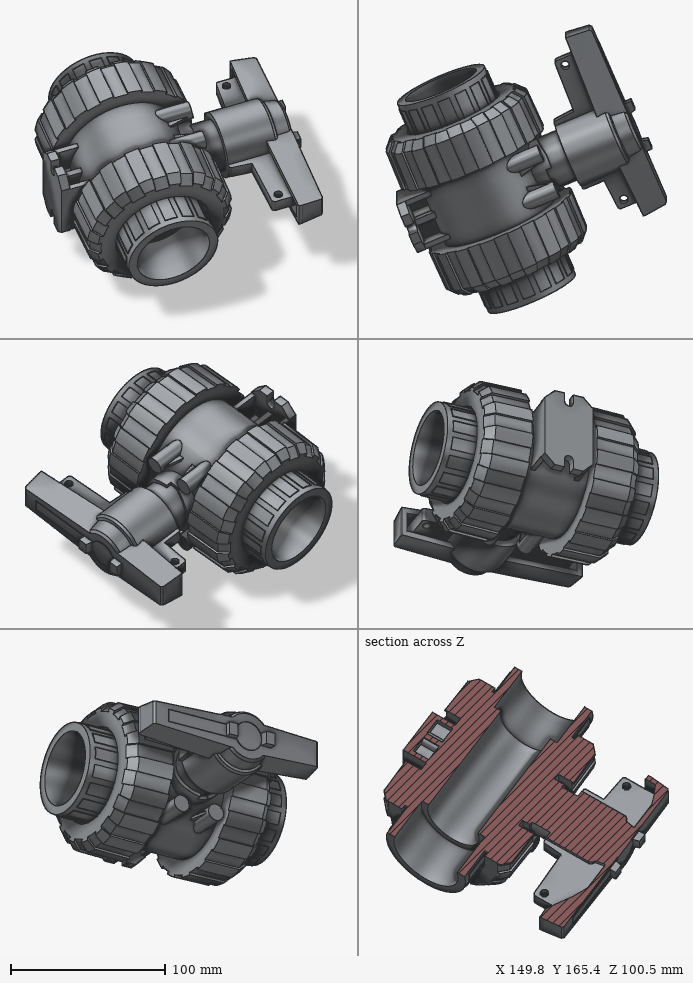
import cadquery as cq
import math


PIPE_LENGTH = 149.8
PIPE_DIAMETER = 61.5
BORE_DIAMETER = 40.0
SOCKET_DIAMETER = 50.0
SOCKET_DEPTH = 32.2
RIB_COUNT = 16
RIB_DIAMETER = 62.7
RIB_WIDTH = 8.3
RIB_START = 71.0

NUT_OUTER_FACE = 54.7
NUT_BEVEL_START = 49.1
NUT_INNER_FACE = 23.0
NUT_MOUTH_DIAMETER = 65.0
NUT_MOUTH_DEPTH = 3.3
LOBE_COUNT = 16
LOBE_RADIUS = 50.5
GROOVE_DEPTH = 1.7
GROOVE_WIDTH = 9.6
NUT_DRAFT = 0.5
NUT_BEVEL_RADIUS = 44.8
GROOVE_BEVEL_RADIUS = 42.5

BODY_DIAMETER = 77.2
STEM_DIAMETER = 35.0
COLLAR_DIAMETER = 40.0
COLLAR_HALF_WIDTH = 18.9
COLLAR_HIGH = 46.0
COLLAR_LOW = 42.0
COLLAR_RAMP_FOOT = 7.5
COLLAR_RAMP_STEP = 0.8
COLLAR_RAMP_HEAD = 8.8
COLLAR_RAMP_DROP = 2.5

POST_DIAMETER = 11.4
POST_X = 13.0
POST_Z = 27.1
POST_TOP = 43.8
GUSSET_THICKNESS = 2.0
GUSSET_TOP = 40.4
GUSSET_FOOT = 25.8
GUSSET_INNER_X = 3.6

FOOT_FACE = -55.9
FOOT_THICKNESS = 6.0
FOOT_HALF_WIDTH = 17.2
FOOT_HALF_HEIGHT = 28.5
FOOT_CHAMFER = 7.1
FOOT_SLOT_WIDTH = 6.1
FOOT_SLOT_DEPTH = 9.3
CHEEK_THICKNESS = 3.3
CHEEK_HALF_HEIGHT = 20.7
WEB_THICKNESS = 4.0
WEB_HALF_HEIGHT = 14.5
FOOT_BOSS_DIAMETER = 11.4

HUB_RADIUS = 22.0
HUB_BOTTOM = 57.7
HUB_SHOULDER = 91.6
HUB_CHAMFER_TOP = 93.5
HUB_TOP = 94.1
HUB_CHAMFER = 1.2
CAP_BASE_RADIUS = 19.2
CAP_RADIUS = 17.5
CAP_BEVEL = 1.7

ARM_TOP = 104.7
ARM_LEFT = -54.7
ARM_RIGHT = 73.3
ARM_END_BOTTOM = 87.3
ARM_MID_BOTTOM = 85.0
ARM_MID_TOP_HALF = 11.4
ARM_MID_BOTTOM_HALF = 13.9
ARM_TOP_TAPER = 0.048
ARM_BOTTOM_TAPER = 0.06
ARM_END_LEAN = 1.3
ARM_END_FLAT = 2.5
ARM_CORNER = 1.3
ARM_WALL = 3.6
CAP_DISC_RADIUS = 10.0
RIDGE_TOP = 105.2

FIN_THICKNESS = 9.3
FIN_LEFT = -45.6
FIN_RIGHT = 60.9
FIN_TIP_BOTTOM = 74.0
FIN_ROOT_BOTTOM = 72.6
FIN_ROOT_LEFT = -24.3
FIN_ROOT_RIGHT = 25.6
FIN_TIP_FILLET = 2.0
FIN_FOOT_FILLET = 1.3
SELECT_MARGIN = 0.2
FIN_HOLE_DIAMETER = 5.5
FIN_HOLE_INSET = 5.0
FIN_HOLE_Y = 79.5
LUG_THICKNESS = 8.6
LUG_TOP = 109.5
LUG_OUTER_X = 17.2
LUG_TOP_INNER_X = 10.9
LUG_BASE_INNER_X = 9.6


def box(x_range, y_range, z_range):
    """Block between the given limits on each axis."""
    size = [high - low for low, high in (x_range, y_range, z_range)]
    corner = (x_range[0], y_range[0], z_range[0])
    return cq.Workplane("XY").box(*size, centered=False).translate(corner)


def turned_about_x(points):
    """Solid of (x, radius) points revolved about the bore axis."""
    return cq.Workplane("XY").polyline(points).close().revolve(360, (0, 0, 0), (1, 0, 0))


def rod_along_x(diameter, start, end):
    return cq.Workplane("YZ", origin=(start, 0, 0)).circle(diameter / 2).extrude(end - start)


def rod_along_y(diameter, start, end, x=0, z=0):
    return cq.Workplane("XZ", origin=(x, start, z)).circle(diameter / 2).extrude(start - end)


def plate_along_z(points, thickness, z=0):
    """Plate outlined in the XY plane, centred on the given height."""
    plane = cq.Workplane("XY", origin=(0, 0, z - thickness / 2))
    return plane.polyline(points).close().extrude(thickness)


def both_ends(shape):
    return shape.union(shape.mirror("YZ"))


def pipe():
    tube = rod_along_x(PIPE_DIAMETER, -PIPE_LENGTH / 2, PIPE_LENGTH / 2)
    ribs = rod_along_x(RIB_DIAMETER, -RIB_START, -NUT_BEVEL_START)
    bars = None
    for i in range(RIB_COUNT // 2):
        bar = box(
            (-RIB_START, -NUT_BEVEL_START),
            (-RIB_DIAMETER, RIB_DIAMETER),
            (-RIB_WIDTH / 2, RIB_WIDTH / 2),
        )
        bar = bar.rotate((0, 0, 0), (1, 0, 0), i * 360 / RIB_COUNT)
        bars = bar if bars is None else bars.union(bar)
    return tube.union(both_ends(ribs.intersect(bars)))


def nut_blank(radius, bevel_radius):
    return turned_about_x([
        (-NUT_OUTER_FACE, 0),
        (-NUT_OUTER_FACE, bevel_radius),
        (-NUT_BEVEL_START, radius - NUT_DRAFT),
        (-NUT_INNER_FACE, radius),
        (-NUT_INNER_FACE, 0),
    ])


def nut():
    lobes = nut_blank(LOBE_RADIUS, NUT_BEVEL_RADIUS)
    for i in range(LOBE_COUNT):
        groove = box(
            (-NUT_OUTER_FACE, -NUT_INNER_FACE),
            (GROOVE_BEVEL_RADIUS - GROOVE_DEPTH, LOBE_RADIUS + GROOVE_DEPTH),
            (-GROOVE_WIDTH / 2, GROOVE_WIDTH / 2),
        )
        lobes = lobes.cut(groove.rotate((0, 0, 0), (1, 0, 0), i * 360 / LOBE_COUNT))
    core = nut_blank(LOBE_RADIUS - GROOVE_DEPTH, GROOVE_BEVEL_RADIUS)
    mouth = rod_along_x(NUT_MOUTH_DIAMETER, -NUT_OUTER_FACE, NUT_MOUTH_DEPTH - NUT_OUTER_FACE)
    return lobes.union(core).cut(mouth)


def stop_collar():
    """Collar round the stem whose rim falls away in ramps from a central step."""
    rim = plate_along_z([
        (-COLLAR_HALF_WIDTH, 0),
        (-COLLAR_HALF_WIDTH, COLLAR_HIGH),
        (-COLLAR_RAMP_FOOT, COLLAR_LOW + COLLAR_RAMP_STEP),
        (-COLLAR_RAMP_FOOT, COLLAR_LOW),
        (0, COLLAR_LOW),
        (0, COLLAR_HIGH),
        (COLLAR_RAMP_HEAD, COLLAR_HIGH),
        (COLLAR_HALF_WIDTH, COLLAR_HIGH - COLLAR_RAMP_DROP),
        (COLLAR_HALF_WIDTH, 0),
    ], COLLAR_DIAMETER)
    return rod_along_y(COLLAR_DIAMETER, 0, COLLAR_HIGH).intersect(rim)


def post_with_gusset():
    post = rod_along_y(POST_DIAMETER, 0, POST_TOP, POST_X, POST_Z)
    inner_edge = POST_X - POST_DIAMETER / 2
    gusset = plate_along_z([
        (POST_X, GUSSET_TOP),
        (inner_edge, GUSSET_TOP),
        (GUSSET_INNER_X, GUSSET_FOOT),
        (GUSSET_INNER_X, 0),
        (POST_X, 0),
    ], GUSSET_THICKNESS, POST_Z)
    return post.union(gusset)


def body():
    barrel = rod_along_x(BODY_DIAMETER, -NUT_INNER_FACE, NUT_INNER_FACE)
    stem = rod_along_y(STEM_DIAMETER, 0, HUB_BOTTOM)
    posts = both_ends(post_with_gusset())
    posts = posts.union(posts.mirror("XY"))
    return barrel.union(stem).union(stop_collar()).union(posts)


def foot():
    """Slotted mounting plate joined to the barrel by cheeks, webs and a boss."""
    back = FOOT_FACE + FOOT_THICKNESS
    plate = box(
        (-FOOT_HALF_WIDTH, FOOT_HALF_WIDTH),
        (FOOT_FACE, back),
        (-FOOT_HALF_HEIGHT, FOOT_HALF_HEIGHT),
    ).edges("|Y").chamfer(FOOT_CHAMFER)
    for side in (-1, 1):
        slot_end = side * (FOOT_HALF_HEIGHT - FOOT_SLOT_DEPTH + FOOT_SLOT_WIDTH / 2)
        mouth = sorted((slot_end, side * FOOT_HALF_HEIGHT))
        plate = plate.cut(rod_along_y(FOOT_SLOT_WIDTH, FOOT_FACE, back, 0, slot_end))
        plate = plate.cut(box((-FOOT_SLOT_WIDTH / 2, FOOT_SLOT_WIDTH / 2), (FOOT_FACE, back), mouth))

    cheek = box(
        (FOOT_HALF_WIDTH - CHEEK_THICKNESS, FOOT_HALF_WIDTH),
        (back, 0),
        (-CHEEK_HALF_HEIGHT, CHEEK_HALF_HEIGHT),
    )
    web_sides = (-WEB_THICKNESS / 2, WEB_THICKNESS / 2)
    upright = box(web_sides, (back, 0), (-WEB_HALF_HEIGHT, WEB_HALF_HEIGHT))
    shelf = box((-FOOT_HALF_WIDTH, FOOT_HALF_WIDTH), (back, 0), web_sides)
    boss = rod_along_y(FOOT_BOSS_DIAMETER, back, 0)
    return plate.union(both_ends(cheek)).union(upright).union(shelf).union(boss)


def hub():
    profile = [
        (0, HUB_BOTTOM),
        (HUB_RADIUS, HUB_BOTTOM),
        (HUB_RADIUS, HUB_SHOULDER),
        (HUB_RADIUS - HUB_CHAMFER, HUB_CHAMFER_TOP),
        (CAP_BASE_RADIUS, HUB_TOP),
        (CAP_RADIUS, ARM_TOP - CAP_BEVEL),
        (CAP_RADIUS - CAP_BEVEL, ARM_TOP),
        (0, ARM_TOP),
    ]
    return cq.Workplane("XY").polyline(profile).close().revolve(360, (0, 0, 0), (0, 1, 0))


def arm_section(x, bottom, wall):
    """Trapezoid across the arm, narrower at the top and towards the tip."""
    top = ARM_TOP - wall
    top_half = ARM_MID_TOP_HALF - ARM_TOP_TAPER * abs(x) - wall
    bottom_half = ARM_MID_BOTTOM_HALF - ARM_BOTTOM_TAPER * abs(x) - wall
    corners = [
        cq.Vector(x, bottom, -bottom_half),
        cq.Vector(x, bottom, bottom_half),
        cq.Vector(x, top, top_half),
        cq.Vector(x, top, -top_half),
    ]
    return cq.Wire.makePolygon(corners, close=True)


def arm_loft(end_x, wall):
    """Arm from the hub axis to its tip; a wall insets the roof and flanks and drops the underside."""
    middle = arm_section(0, ARM_MID_BOTTOM - wall, wall)
    tip = arm_section(end_x, ARM_END_BOTTOM - wall, wall)
    return cq.Workplane(cq.Solid.makeLoft([middle, tip], True))


def arm(end_x):
    side = math.copysign(1, end_x)
    cavity = arm_loft(end_x - side * ARM_WALL, ARM_WALL)
    outline = plate_along_z([
        (0, ARM_MID_BOTTOM),
        (end_x, ARM_END_BOTTOM),
        (end_x, ARM_END_BOTTOM + ARM_END_FLAT),
        (end_x - side * ARM_END_LEAN, ARM_TOP - ARM_CORNER),
        (end_x - side * (ARM_END_LEAN + ARM_CORNER), ARM_TOP),
        (0, ARM_TOP),
    ], 2 * ARM_MID_BOTTOM_HALF)
    return arm_loft(end_x, 0).intersect(outline).cut(cavity)


def corners_at_height(y):
    """Selects the fin corners whose middle lies at the given Y."""
    return cq.selectors.BoxSelector(
        (FIN_LEFT - SELECT_MARGIN, y - SELECT_MARGIN, -FIN_THICKNESS),
        (FIN_RIGHT + SELECT_MARGIN, y + SELECT_MARGIN, FIN_THICKNESS),
    )


def fin():
    """Upright blade that stiffens the arms and runs down the sides of the hub."""
    blade = plate_along_z([
        (FIN_LEFT, ARM_TOP - ARM_WALL),
        (FIN_LEFT, FIN_TIP_BOTTOM),
        (FIN_ROOT_LEFT, FIN_ROOT_BOTTOM),
        (FIN_ROOT_LEFT, HUB_BOTTOM),
        (-FIN_ROOT_LEFT, HUB_BOTTOM),
        (FIN_ROOT_RIGHT, FIN_ROOT_BOTTOM),
        (FIN_RIGHT, FIN_TIP_BOTTOM),
        (FIN_RIGHT, ARM_TOP - ARM_WALL),
    ], FIN_THICKNESS)
    tip_corners = corners_at_height(FIN_TIP_BOTTOM)
    foot_corners = corners_at_height(HUB_BOTTOM)
    blade = blade.edges("|Z").edges(tip_corners).fillet(FIN_TIP_FILLET)
    return blade.edges("|Z").edges(foot_corners).fillet(FIN_FOOT_FILLET)


def fin_holes():
    centres = [
        (FIN_LEFT + FIN_HOLE_INSET, FIN_HOLE_Y),
        (FIN_RIGHT - FIN_HOLE_INSET, FIN_HOLE_Y),
    ]
    plane = cq.Workplane("XY", origin=(0, 0, -FIN_THICKNESS / 2))
    return plane.pushPoints(centres).circle(FIN_HOLE_DIAMETER / 2).extrude(FIN_THICKNESS)


def top_lugs():
    lug = plate_along_z([
        (LUG_OUTER_X, ARM_TOP - ARM_WALL),
        (LUG_OUTER_X, LUG_TOP),
        (LUG_TOP_INNER_X, LUG_TOP),
        (LUG_BASE_INNER_X, ARM_TOP),
        (LUG_BASE_INNER_X, ARM_TOP - ARM_WALL),
    ], LUG_THICKNESS)
    return both_ends(lug)


def handle():
    disc = rod_along_y(2 * CAP_DISC_RADIUS, ARM_TOP, RIDGE_TOP)
    ridge = box((0, FIN_RIGHT), (ARM_TOP, RIDGE_TOP), (-LUG_THICKNESS / 2, LUG_THICKNESS / 2))
    arms = arm(ARM_LEFT).union(arm(ARM_RIGHT))
    return arms.union(fin()).union(hub()).union(disc).union(ridge).union(top_lugs()).cut(fin_holes())


def flow_passage():
    bore = rod_along_x(BORE_DIAMETER, -PIPE_LENGTH / 2, PIPE_LENGTH / 2)
    socket = rod_along_x(SOCKET_DIAMETER, -PIPE_LENGTH / 2, SOCKET_DEPTH - PIPE_LENGTH / 2)
    return bore.union(both_ends(socket))


result = (
    both_ends(nut())
    .union(body())
    .union(pipe())
    .union(foot())
    .union(handle())
    .cut(flow_passage())
)